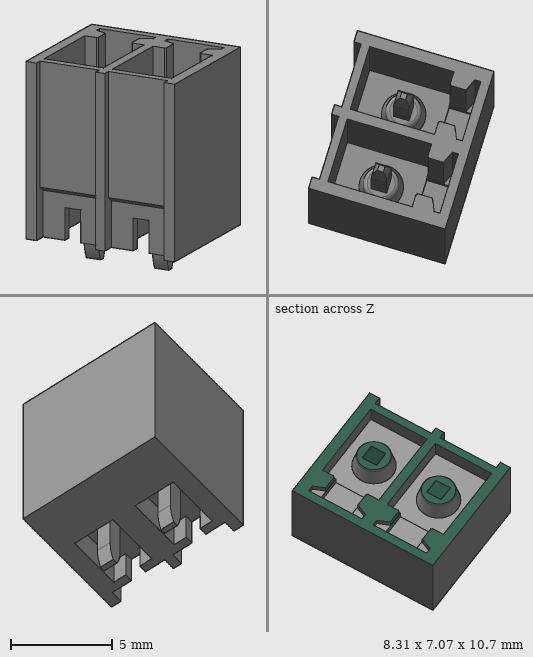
import cadquery as cq
import math


POLE_COUNT = 2
PITCH = 3.81
END_MARGIN = 2.25

HOUSING_WIDTH = (POLE_COUNT - 1) * PITCH + 2 * END_MARGIN
HOUSING_HEIGHT = 9.2
BACK_Y = 3.99
FRONT_Y = -3.08

CAVITY_WIDTH = 3.3
CAVITY_FRONT_Y = -2.26
CAVITY_BACK_Y = 2.10
CAVITY_FLOOR_Z = 3.0
BACK_LEDGE = 0.04

KEY_FLOOR_Z = 3.6
KEY_BACK_Y = BACK_Y - 0.48
KEY_HEAD_WIDTH = 3.12
KEY_NECK_WIDTH = 1.88
KEY_STRAIGHT = 0.3
KEY_SLOPE = 0.27
KEY_CORNER_CHAMFER = 0.07

KEY_POCKET_WIDTH = 1.82
KEY_POCKET_FLOOR_Z = 3.3

RECESS_UPPER_Y = -2.70
RECESS_LOWER_Y = -2.38
RECESS_SLOPE_TOP_Z = 2.67
RECESS_SLOPE_BOTTOM_Z = 2.43

COLLAR_BASE_DIAMETER = 2.2
COLLAR_SHOULDER_DIAMETER = 1.78
COLLAR_TOP_DIAMETER = 1.38
COLLAR_CONE_HEIGHT = 0.75

SOCKET_WIDTH = 2.4
SOCKET_BACK_Y = SOCKET_WIDTH / 2
SOCKET_FRONT_Y = -1.92
SOCKET_HEIGHT = 1.7
SLOT_WIDTH = 0.88

PIN_SIZE = 0.8
PIN_TIP_SIZE = 0.3
PIN_TIP_LENGTH = 1.1
PIN_BOTTOM_Z = -1.5
PIN_TOP_Z = 7.85

pole_positions = [(i - (POLE_COUNT - 1) / 2) * PITCH for i in range(POLE_COUNT)]


def block(width, y_start, y_end, z_start, z_end):
    """Box centred on X = 0 between the given Y and Z limits."""
    return cq.Workplane("XY").box(
        width, y_end - y_start, z_end - z_start, centered=(True, False, False)
    ).translate((0, y_start, z_start))


def cavity_cut():
    """Open-topped plug cavity, set back a little further above its rear ledge."""
    lower = block(CAVITY_WIDTH, CAVITY_FRONT_Y, CAVITY_BACK_Y - BACK_LEDGE, CAVITY_FLOOR_Z, HOUSING_HEIGHT)
    upper = block(CAVITY_WIDTH, CAVITY_FRONT_Y, CAVITY_BACK_Y, KEY_FLOOR_Z, HOUSING_HEIGHT)
    return lower.union(upper)


def keyway_cut():
    """T-shaped keyway with sloped shoulders and chamfered mouth, plus its floor pocket."""
    head = KEY_HEAD_WIDTH / 2
    neck = KEY_NECK_WIDTH / 2
    shoulder_y = KEY_BACK_Y - KEY_STRAIGHT
    neck_y = shoulder_y - KEY_SLOPE
    right_side = [
        (head, KEY_BACK_Y),
        (head, shoulder_y),
        (neck, neck_y),
        (neck, CAVITY_BACK_Y + KEY_CORNER_CHAMFER),
        (neck + KEY_CORNER_CHAMFER, CAVITY_BACK_Y),
    ]
    left_side = [(-x, y) for x, y in reversed(right_side)]
    keyway = (
        cq.Workplane("XY").workplane(offset=KEY_FLOOR_Z)
        .polyline(right_side + left_side).close()
        .extrude(HOUSING_HEIGHT - KEY_FLOOR_Z)
    )
    pocket_front_y = CAVITY_BACK_Y - BACK_LEDGE
    pocket = block(KEY_POCKET_WIDTH, pocket_front_y, KEY_BACK_Y, KEY_POCKET_FLOOR_Z, KEY_FLOOR_Z)
    return keyway.union(pocket)


def front_recess_cut():
    """Full-height recess in the front face, stepping deeper toward the bottom."""
    return (
        cq.Workplane("YZ")
        .polyline([
            (FRONT_Y, 0),
            (RECESS_LOWER_Y, 0),
            (RECESS_LOWER_Y, RECESS_SLOPE_BOTTOM_Z),
            (RECESS_UPPER_Y, RECESS_SLOPE_TOP_Z),
            (RECESS_UPPER_Y, HOUSING_HEIGHT),
            (FRONT_Y, HOUSING_HEIGHT),
        ]).close()
        .extrude(CAVITY_WIDTH / 2, both=True)
    )


def underside_cut():
    """Rectangular pocket around the pin leg, with a narrow slot out through the front wall."""
    socket = block(SOCKET_WIDTH, SOCKET_FRONT_Y, SOCKET_BACK_Y, 0, SOCKET_HEIGHT)
    slot = block(SLOT_WIDTH, FRONT_Y, SOCKET_FRONT_Y, 0, SOCKET_HEIGHT)
    return socket.union(slot)


def collar():
    """Conical collar with a rounded upper edge, standing on the cavity floor."""
    base = COLLAR_BASE_DIAMETER / 2
    shoulder = COLLAR_SHOULDER_DIAMETER / 2
    top = COLLAR_TOP_DIAMETER / 2
    rounding = shoulder - top
    shoulder_z = CAVITY_FLOOR_Z + COLLAR_CONE_HEIGHT
    arc_middle = (
        top + rounding * math.sin(math.pi / 4),
        shoulder_z + rounding * math.cos(math.pi / 4),
    )
    return (
        cq.Workplane("XZ")
        .moveTo(0, CAVITY_FLOOR_Z)
        .lineTo(base, CAVITY_FLOOR_Z)
        .lineTo(shoulder, shoulder_z)
        .threePointArc(arc_middle, (top, shoulder_z + rounding))
        .lineTo(0, shoulder_z + rounding)
        .close()
        .revolve(360, (0, 0, 0), (0, 1, 0))
    )


def pin_side_profile():
    """Pin outline in the YZ plane; front and back curve in tangentially to both ends."""
    half = PIN_SIZE / 2
    tip = PIN_TIP_SIZE / 2
    upper_z = PIN_TOP_Z - PIN_TIP_LENGTH
    lower_z = PIN_BOTTOM_Z + PIN_TIP_LENGTH
    inset = half - tip
    radius = (PIN_TIP_LENGTH**2 + inset**2) / (2 * inset)
    mid_angle = math.asin(PIN_TIP_LENGTH / radius) / 2
    mid_y = half - radius * (1 - math.cos(mid_angle))
    mid_rise = radius * math.sin(mid_angle)
    return (
        cq.Workplane("YZ")
        .moveTo(half, upper_z)
        .threePointArc((mid_y, upper_z + mid_rise), (tip, PIN_TOP_Z))
        .lineTo(-tip, PIN_TOP_Z)
        .threePointArc((-mid_y, upper_z + mid_rise), (-half, upper_z))
        .lineTo(-half, lower_z)
        .threePointArc((-mid_y, lower_z - mid_rise), (-tip, PIN_BOTTOM_Z))
        .lineTo(tip, PIN_BOTTOM_Z)
        .threePointArc((mid_y, lower_z - mid_rise), (half, lower_z))
        .close()
    )


def pin_front_profile():
    """Pin outline in the XZ plane; straight sides with a flat taper at the top only."""
    half = PIN_SIZE / 2
    tip = PIN_TIP_SIZE / 2
    upper_z = PIN_TOP_Z - PIN_TIP_LENGTH
    return (
        cq.Workplane("XZ")
        .polyline([
            (-half, PIN_BOTTOM_Z),
            (half, PIN_BOTTOM_Z),
            (half, upper_z),
            (tip, PIN_TOP_Z),
            (-tip, PIN_TOP_Z),
            (-half, upper_z),
        ]).close()
    )


def make_pin(x):
    """Square pin bounded by its side outline and its front outline."""
    side = pin_side_profile().extrude(PIN_SIZE / 2, both=True)
    front = pin_front_profile().extrude(PIN_SIZE / 2, both=True)
    return side.intersect(front).translate((x, 0, 0))


def make_housing(pins):
    """Open-topped housing with one plug cavity per pole, each floor pierced by its pin."""
    housing = block(HOUSING_WIDTH, FRONT_Y, BACK_Y, 0, HOUSING_HEIGHT)
    pole_cuts = [cavity_cut(), keyway_cut(), front_recess_cut(), underside_cut()]
    for x in pole_positions:
        for cut in pole_cuts:
            housing = housing.cut(cut.translate((x, 0, 0)))
        housing = housing.union(collar().translate((x, 0, 0)))
    for pin in pins:
        housing = housing.cut(pin)
    return housing


pins = [make_pin(x) for x in pole_positions]
housing = make_housing(pins)

result = cq.Compound.makeCompound([housing.val(), *[pin.val() for pin in pins]])